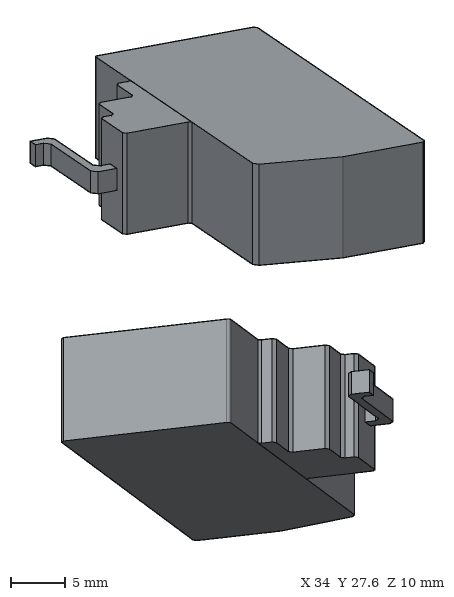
import cadquery as cq

LENGTH = 34.0
HEIGHT = 10.0
HOUSING_DEPTH = 16.85
TAPER_DEPTH = 8.2
TAPER_SETBACK = 1.95
TAPER_CHAMFER = 0.4

CORNER_CHAMFER = 0.3
FRONT_LEFT_RADIUS = 0.3

BLOCK_RIGHT = 19.32
FLARE_WIDTH = 0.2
FLARE_DEPTH = 0.3
STEP_LEFTS = (7.3, 11.02, 14.5)
STEP_DEPTHS = (1.63, 5.45, 6.97)

CLIP_HEIGHT = 2.18
CLIP_LEFT = 7.82
CLIP_RIGHT = 17.85
CLIP_ROOT_WIDTH = 1.33
CLIP_TIP_WIDTH = 1.05
CLIP_BAR_THICKNESS = 0.92
CLIP_BAR_GAP = 1.53
TOTAL_DEPTH = 27.6
CLIP_CHAMFER = 0.5


def extrude_outline(points, height):
    """Solid with the given XY outline, centred on Z = 0."""
    return cq.Workplane("XY").polyline(points).close().extrude(height / 2, both=True)


def make_housing():
    taper_front = LENGTH - TAPER_SETBACK
    outline = [
        (0, 0),
        (taper_front, 0),
        (LENGTH, TAPER_DEPTH),
        (LENGTH, HOUSING_DEPTH),
        (0, HOUSING_DEPTH),
    ]
    body = extrude_outline(outline, HEIGHT)
    body = body.edges(cq.NearestToPointSelector((0, 0, 0))).fillet(FRONT_LEFT_RADIUS)
    for x, y in [(LENGTH, HOUSING_DEPTH), (0, HOUSING_DEPTH)]:
        body = body.edges(cq.NearestToPointSelector((x, y, 0))).chamfer(CORNER_CHAMFER)
    return body.edges(cq.NearestToPointSelector((taper_front, 0, 0))).chamfer(TAPER_CHAMFER)


def make_stepped_block():
    outline = [
        (BLOCK_RIGHT + FLARE_WIDTH, 0),
        (STEP_LEFTS[0] - FLARE_WIDTH, 0),
        (STEP_LEFTS[0], -FLARE_DEPTH),
    ]
    for index, depth in enumerate(STEP_DEPTHS):
        outline.append((STEP_LEFTS[index], -depth))
        if index + 1 < len(STEP_LEFTS):
            outline.append((STEP_LEFTS[index + 1], -depth))
    outline.append((BLOCK_RIGHT, -STEP_DEPTHS[-1]))
    outline.append((BLOCK_RIGHT, -FLARE_DEPTH))

    below_flare = cq.selectors.BoxSelector(
        (0, -STEP_DEPTHS[-1] - CORNER_CHAMFER, -HEIGHT),
        (LENGTH, -FLARE_DEPTH - CORNER_CHAMFER, HEIGHT),
    )
    block = extrude_outline(outline, HEIGHT)
    return block.edges("|Z").edges(below_flare).chamfer(CORNER_CHAMFER)


def make_clip():
    root_y = -STEP_DEPTHS[-1]
    bar_back_y = root_y - CLIP_BAR_GAP
    bar_front_y = bar_back_y - CLIP_BAR_THICKNESS
    tip_y = HOUSING_DEPTH - TOTAL_DEPTH
    root_left = CLIP_RIGHT - CLIP_ROOT_WIDTH
    tip_right = CLIP_LEFT + CLIP_TIP_WIDTH
    outline = [
        (root_left, root_y),
        (CLIP_RIGHT, root_y),
        (CLIP_RIGHT, bar_front_y),
        (tip_right, bar_front_y),
        (tip_right, tip_y),
        (CLIP_LEFT, tip_y),
        (CLIP_LEFT, bar_back_y),
        (root_left, bar_back_y),
    ]
    bends = cq.selectors.BoxSelector(
        (0, bar_front_y - CLIP_CHAMFER, -HEIGHT),
        (LENGTH, bar_back_y + CLIP_CHAMFER, HEIGHT),
    )
    clip = extrude_outline(outline, CLIP_HEIGHT)
    return clip.edges("|Z").edges(bends).chamfer(CLIP_CHAMFER)


housing = make_housing()
stepped_block = make_stepped_block()
clip = make_clip()

result = cq.Compound.makeCompound([housing.val(), stepped_block.val(), clip.val()])